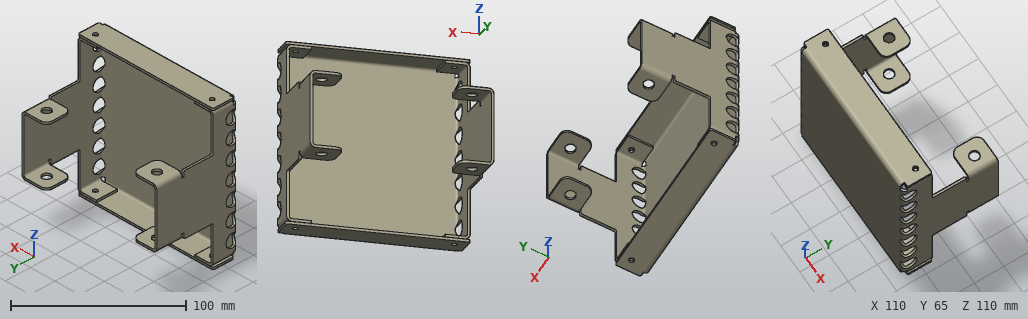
import cadquery as cq
import math


size = 110.0
half = size / 2
sheet = 1.6
bend_radius = 3.3
inner_radius = bend_radius - sheet
neutral_radius = inner_radius + 0.44 * sheet
fold_gap = 0.1
corner_radius = 1.1

flange_depth = 20.0
screw_diameter = 3.3
screw_inset = 7.5
screw_depth = 13.4

depth = 65.0
arm_height = 46.4
tab_length = 15.0
wall_half_height = half - sheet - fold_gap

ear_size = 20.0
ear_corner_radius = 5.0
ear_hole_diameter = 6.5
relief_width = 1.5
relief_depth = 4.1

vent_diameter = 9.9
vent_radius = vent_diameter / 2
vent_count = 7
vent_pitch = 14.0
vent_depth = 4.6
vent_rim_steps = 12


def box(x_range, y_range, z_range):
    """Axis-aligned block between three pairs of limits."""
    lengths = [high - low for low, high in (x_range, y_range, z_range)]
    corner = (x_range[0], y_range[0], z_range[0])
    return cq.Workplane("XY").box(*lengths, centered=False).translate(corner)


def bend(plane, length, start_angle):
    """Quarter-round bend around the origin of the plane, extruded along its normal."""
    end_angle = start_angle + 90

    def polar(radius, degrees):
        angle = math.radians(degrees)
        return (radius * math.cos(angle), radius * math.sin(angle))

    middle = start_angle + 45
    return (
        cq.Workplane(plane)
        .moveTo(*polar(inner_radius, start_angle))
        .lineTo(*polar(bend_radius, start_angle))
        .threePointArc(polar(bend_radius, middle), polar(bend_radius, end_angle))
        .lineTo(*polar(inner_radius, end_angle))
        .threePointArc(polar(inner_radius, middle), polar(inner_radius, start_angle))
        .close()
        .extrude(length)
    )


def mirrored(shape, plane):
    """The shape together with its mirror image."""
    return shape.union(shape.mirror(plane))


def front_panel():
    edge = half - bend_radius
    return box((-edge, edge), (0, sheet), (-edge, edge))


def top_flange():
    edge = half - bend_radius
    bend_plane = cq.Plane(origin=(-edge, bend_radius, edge), xDir=(0, 1, 0), normal=(1, 0, 0))
    plate = box((-half, half), (bend_radius, flange_depth), (half - sheet, half))
    plate = plate.edges("|Z").fillet(corner_radius)
    return plate.union(bend(bend_plane, 2 * edge, 90))


def wrapped_vent():
    """Cutter for the part of a vent in the front bend; its walls are radial to the bend axis."""
    overlap = vent_depth - bend_radius
    last_angle = (vent_radius - overlap) / neutral_radius
    cut_radius = bend_radius + sheet
    core_radius = inner_radius / 2
    edge = half - bend_radius

    def rim(radius, side):
        """Upper (side 1) or lower (side -1) half of the vent edge, wrapped at this radius."""
        points = []
        for step in range(vent_rim_steps + 1):
            fraction = math.sin(math.pi / 2 * step / vent_rim_steps)
            angle = last_angle * fraction
            offset = overlap + neutral_radius * angle
            height = side * math.sqrt(max(vent_radius**2 - offset**2, 0))
            x = -edge - radius * math.cos(angle)
            y = bend_radius - radius * math.sin(angle)
            points.append(cq.Vector(x, y, height))
        return cq.Edge.makeSpline(points)

    outer_top, outer_bottom = rim(cut_radius, 1), rim(cut_radius, -1)
    inner_top, inner_bottom = rim(core_radius, 1), rim(core_radius, -1)
    starts = [curve.startPoint() for curve in (outer_top, outer_bottom, inner_bottom, inner_top)]
    faces = [
        cq.Face.makeRuledSurface(outer_top, inner_top),
        cq.Face.makeRuledSurface(outer_bottom, inner_bottom),
        cq.Face.makeRuledSurface(outer_top, outer_bottom),
        cq.Face.makeRuledSurface(inner_top, inner_bottom),
        cq.Face.makeFromWires(cq.Wire.makePolygon(starts, close=True)),
    ]
    solid = cq.Solid.makeSolid(cq.Shell.makeShell(faces))
    return cq.Workplane(solid.fix())


def flat_vent():
    """Cutter for the part of a vent in the flat of the left wall."""
    margin = 1.1
    round_hole = (
        cq.Workplane("YZ", origin=(-half - margin, 0, 0))
        .center(vent_depth, 0)
        .circle(vent_radius)
        .extrude(sheet + 2 * margin)
    )
    return round_hole.intersect(box((-size, 0), (bend_radius, depth), (-half, half)))


def side_tab():
    """Inward tab that lies under the top flange, with its bend from the left wall."""
    bend_center = wall_half_height - bend_radius
    plane = cq.Plane(
        origin=(-half + bend_radius, flange_depth, bend_center), xDir=(1, 0, 0), normal=(0, -1, 0)
    )
    plate = box(
        (-half + bend_radius, -half + tab_length),
        (bend_radius, flange_depth),
        (wall_half_height - sheet, wall_half_height),
    )
    return plate.union(bend(plane, flange_depth - bend_radius, 90))


def ear():
    """Inward mounting ear at the rear of the left arm, with its bend."""
    top = arm_height / 2
    plane = cq.Plane(
        origin=(-half + bend_radius, depth, top - bend_radius), xDir=(1, 0, 0), normal=(0, -1, 0)
    )
    plate = box(
        (-half + bend_radius, -half + ear_size), (depth - ear_size, depth), (top - sheet, top)
    )
    plate = plate.edges("|Z and >X").fillet(ear_corner_radius)
    hole = (
        cq.Workplane("XY")
        .center(-half + ear_size / 2, depth - ear_size / 2)
        .circle(ear_hole_diameter / 2)
        .extrude(half)
    )
    return plate.cut(hole).union(bend(plane, ear_size, 90))


def round_wall_corners(wall, y, z):
    """Round the wall corners at the given Y and at plus and minus Z."""
    reach = 0.1
    for height in (-z, z):
        corner = cq.selectors.BoxSelector(
            (-half - reach, y - reach, height - reach),
            (-half + sheet + reach, y + reach, height + reach),
        )
        wall = wall.edges("|X").edges(corner).fillet(corner_radius)
    return wall


def left_wall():
    wall_top = wall_half_height - bend_radius
    arm_top = arm_height / 2
    relief_front = depth - ear_size - relief_width
    thickness = (-half, -half + sheet)

    wall = box(thickness, (bend_radius, flange_depth), (-wall_top, wall_top))
    wall = wall.union(box(thickness, (bend_radius, depth), (-arm_top, arm_top)))
    bend_room = box(thickness, (relief_front, depth), (arm_top - bend_radius, arm_top))
    relief = box(
        thickness, (relief_front, relief_front + relief_width), (arm_top - relief_depth, arm_top)
    )
    wall = wall.cut(mirrored(bend_room.union(relief), "XY"))
    for corner_y in (flange_depth, relief_front):
        wall = round_wall_corners(wall, corner_y, arm_top)

    front_plane = cq.Plane(
        origin=(-half + bend_radius, bend_radius, -wall_top), xDir=(1, 0, 0), normal=(0, 0, 1)
    )
    wall = wall.union(bend(front_plane, 2 * wall_top, 180))
    wall = wall.union(mirrored(side_tab(), "XY")).union(mirrored(ear(), "XY"))

    for vent in (flat_vent(), wrapped_vent()):
        for row in range(vent_count):
            height = (row - (vent_count - 1) / 2) * vent_pitch
            wall = wall.cut(vent.translate((0, 0, height)))
    return wall


screw_x = half - screw_inset
screw_holes = (
    cq.Workplane("XY", origin=(0, 0, -half))
    .pushPoints([(-screw_x, screw_depth), (screw_x, screw_depth)])
    .circle(screw_diameter / 2)
    .extrude(size)
)

result = front_panel().union(mirrored(top_flange(), "XY"))
result = result.union(mirrored(left_wall(), "YZ"))
result = result.cut(screw_holes)